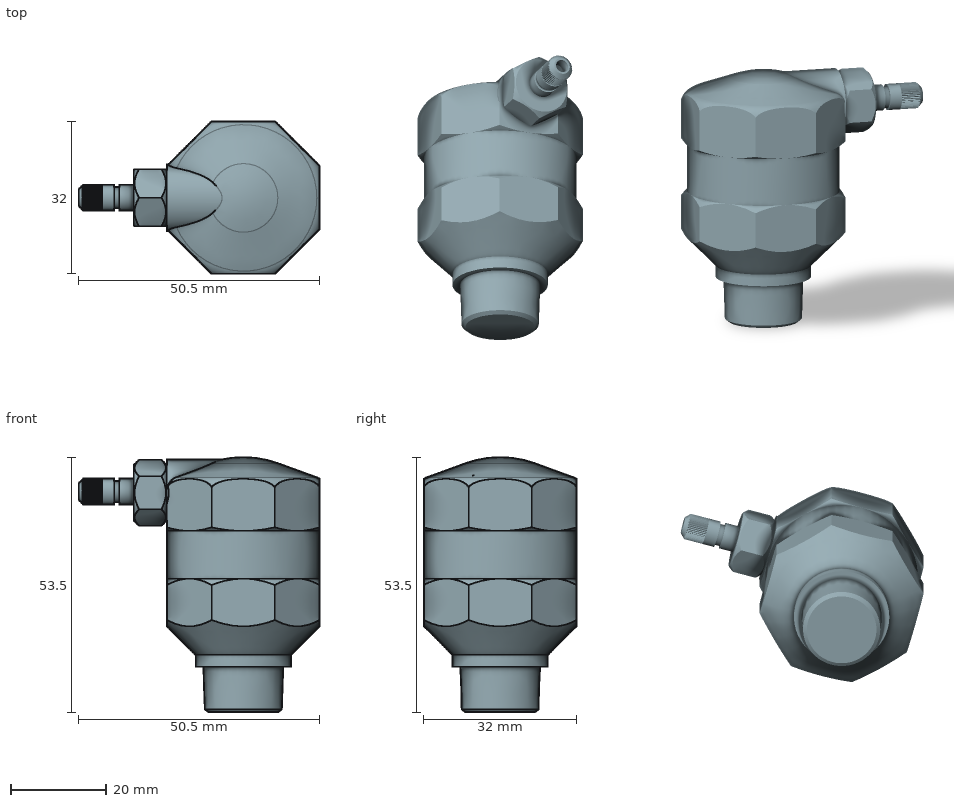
import cadquery as cq
import math

ACROSS_FLATS = 32.0
FLAT_RADIUS = ACROSS_FLATS / 2
OCTAGON_SIDES = 8
CORNER_RADIUS = FLAT_RADIUS / math.cos(math.pi / OCTAGON_SIDES)
CORNER_RISE = CORNER_RADIUS - FLAT_RADIUS

THREAD_TIP_CHAMFER_RADIAL = 0.8
THREAD_TIP_CHAMFER_HEIGHT = 0.65
THREAD_TOP_DIAMETER = 16.8
THREAD_TAPER = 1 / 16
COLLAR_DIAMETER = 20.0
COLLAR_BOTTOM = 9.5
COLLAR_TOP = 12.0
LOWER_NUT_BOTTOM = COLLAR_TOP + FLAT_RADIUS - COLLAR_DIAMETER / 2
LOWER_NUT_HEIGHT = 10.0
RING_BOTTOM = LOWER_NUT_BOTTOM + LOWER_NUT_HEIGHT
RING_HEIGHT = 10.0
HEAD_BOTTOM = RING_BOTTOM + RING_HEIGHT
HEAD_BOTTOM_CHAMFER_ANGLE = math.radians(30)

DOME_APEX = 53.49
DOME_RADIUS = 21.0
CAP_SLOPE = math.radians(20)
SHOULDER_START_RADIUS = 15.35
SHOULDER_ROUND = 3.2

OUTLET_Z = 46.0
OUTLET_DIAMETER = 14.0
NUT_ACROSS_FLATS = 12.0
NUT_LENGTH = 7.0
NUT_CHAMFER = 1.15
HEX_SIDES = 6

STEM_OFFSET = 0.25
STEM_Z = OUTLET_Z + STEM_OFFSET
STEM_DIAMETER = 5.5
STEM_LENGTH = 11.5
TIP_CHAMFER = 1.0
NECK_DIAMETER = 4.52
NECK_START = 7.45
NECK_WIDTH = 1.1
HOLE_DIAMETER = 2.7
HOLE_DEPTH = 3.0
DRILL_POINT_ANGLE = math.radians(118)
KNURL_END = 4.95
KNURL_COUNT = 45
KNURL_DEPTH = 0.25

NUT_FACE_X = -FLAT_RADIUS - NUT_LENGTH
STEM_TIP_X = NUT_FACE_X - STEM_LENGTH


def make_body():
    """Turned profile trimmed by an octagonal prism, which leaves the wrench flats."""
    thread_top_radius = THREAD_TOP_DIAMETER / 2
    thread_tip_radius = thread_top_radius - COLLAR_BOTTOM * THREAD_TAPER / 2
    head_chamfer_height = CORNER_RISE * math.tan(HEAD_BOTTOM_CHAMFER_ANGLE)

    dome_edge_radius = DOME_RADIUS * math.sin(CAP_SLOPE)
    dome_edge_z = DOME_APEX - DOME_RADIUS * (1 - math.cos(CAP_SLOPE))
    dome_mid_radius = DOME_RADIUS * math.sin(CAP_SLOPE / 2)
    dome_mid_z = DOME_APEX - DOME_RADIUS * (1 - math.cos(CAP_SLOPE / 2))

    shoulder_z = dome_edge_z - (SHOULDER_START_RADIUS - dome_edge_radius) * math.tan(CAP_SLOPE)
    round_center_r = SHOULDER_START_RADIUS - SHOULDER_ROUND * math.sin(CAP_SLOPE)
    round_center_z = shoulder_z - SHOULDER_ROUND * math.cos(CAP_SLOPE)
    round_end_angle = math.acos((CORNER_RADIUS - round_center_r) / SHOULDER_ROUND)
    round_mid_angle = (round_end_angle + math.pi / 2 - CAP_SLOPE) / 2

    def shoulder_point(angle):
        return (
            round_center_r + SHOULDER_ROUND * math.cos(angle),
            round_center_z + SHOULDER_ROUND * math.sin(angle),
        )

    turned = (
        cq.Workplane("XZ")
        .moveTo(0, 0)
        .lineTo(thread_tip_radius - THREAD_TIP_CHAMFER_RADIAL, 0)
        .lineTo(thread_tip_radius, THREAD_TIP_CHAMFER_HEIGHT)
        .lineTo(thread_top_radius, COLLAR_BOTTOM)
        .lineTo(COLLAR_DIAMETER / 2, COLLAR_BOTTOM)
        .lineTo(COLLAR_DIAMETER / 2, COLLAR_TOP)
        .lineTo(CORNER_RADIUS, LOWER_NUT_BOTTOM + CORNER_RISE)
        .lineTo(CORNER_RADIUS, RING_BOTTOM - CORNER_RISE)
        .lineTo(FLAT_RADIUS, RING_BOTTOM)
        .lineTo(FLAT_RADIUS, HEAD_BOTTOM)
        .lineTo(CORNER_RADIUS, HEAD_BOTTOM + head_chamfer_height)
        .lineTo(*shoulder_point(round_end_angle))
        .threePointArc(shoulder_point(round_mid_angle), (SHOULDER_START_RADIUS, shoulder_z))
        .lineTo(dome_edge_radius, dome_edge_z)
        .threePointArc((dome_mid_radius, dome_mid_z), (0, DOME_APEX))
        .close()
        .revolve(360, (0, 0, 0), (0, 1, 0))
    )
    octagon = (
        cq.Workplane("XY")
        .polygon(OCTAGON_SIDES, 2 * CORNER_RADIUS)
        .extrude(DOME_APEX)
        .rotate((0, 0, 0), (0, 0, 1), 180 / OCTAGON_SIDES)
    )
    return turned.intersect(octagon)


def rod_along_x(diameter, start_x, length, axis_z):
    """Round bar that extends from start_x in the +X direction."""
    return (
        cq.Workplane("YZ", origin=(start_x, 0, axis_z))
        .circle(diameter / 2)
        .extrude(length)
    )


def make_outlet():
    """Round boss that runs from the head's flat to the body axis."""
    return rod_along_x(OUTLET_DIAMETER, -FLAT_RADIUS, FLAT_RADIUS, OUTLET_Z)


def make_nut():
    """Hexagon with one corner up, its corners chamfered at both ends."""
    corner_diameter = NUT_ACROSS_FLATS / math.cos(math.pi / HEX_SIDES)
    hexagon = (
        cq.Workplane("YZ", origin=(NUT_FACE_X, 0, OUTLET_Z))
        .transformed(rotate=(0, 0, 90))
        .polygon(HEX_SIDES, corner_diameter)
        .extrude(NUT_LENGTH)
    )
    envelope = rod_along_x(corner_diameter, NUT_FACE_X, NUT_LENGTH, OUTLET_Z)
    envelope = envelope.edges("%CIRCLE").chamfer(NUT_CHAMFER)
    return hexagon.intersect(envelope)


def make_stem():
    """Chamfered rod with a narrow neck, straight knurl and drilled end."""
    stem = rod_along_x(STEM_DIAMETER, STEM_TIP_X, STEM_LENGTH, STEM_Z)
    stem = stem.faces("<X").chamfer(TIP_CHAMFER)

    neck_x = STEM_TIP_X + NECK_START
    neck_sleeve = rod_along_x(2 * STEM_DIAMETER, neck_x, NECK_WIDTH, STEM_Z)
    neck_core = rod_along_x(NECK_DIAMETER, neck_x, NECK_WIDTH, STEM_Z)
    stem = stem.cut(neck_sleeve.cut(neck_core))

    return stem.cut(make_knurl_cutter()).cut(make_hole())


def make_knurl_cutter():
    """Star-shaped sleeve: the tooth tips touch the stem surface."""
    outer_radius = STEM_DIAMETER / 2
    root_radius = outer_radius - KNURL_DEPTH
    half_pitch = math.pi / KNURL_COUNT
    points = []
    for index in range(2 * KNURL_COUNT):
        radius = outer_radius if index % 2 == 0 else root_radius
        angle = index * half_pitch
        points.append((radius * math.cos(angle), radius * math.sin(angle)))
    toothed_core = (
        cq.Workplane("YZ", origin=(STEM_TIP_X, 0, STEM_Z))
        .polyline(points)
        .close()
        .extrude(KNURL_END)
    )
    return rod_along_x(2 * STEM_DIAMETER, STEM_TIP_X, KNURL_END, STEM_Z).cut(toothed_core)


def make_hole():
    """Blind hole with a drill point, entering at the stem tip."""
    hole_radius = HOLE_DIAMETER / 2
    point_length = hole_radius / math.tan(DRILL_POINT_ANGLE / 2)
    return (
        cq.Workplane("XZ", origin=(STEM_TIP_X, 0, STEM_Z))
        .moveTo(0, 0)
        .lineTo(0, hole_radius)
        .lineTo(HOLE_DEPTH, hole_radius)
        .lineTo(HOLE_DEPTH + point_length, 0)
        .close()
        .revolve(360, (0, 0, 0), (1, 0, 0))
    )


result = make_body().union(make_outlet()).union(make_nut()).union(make_stem())